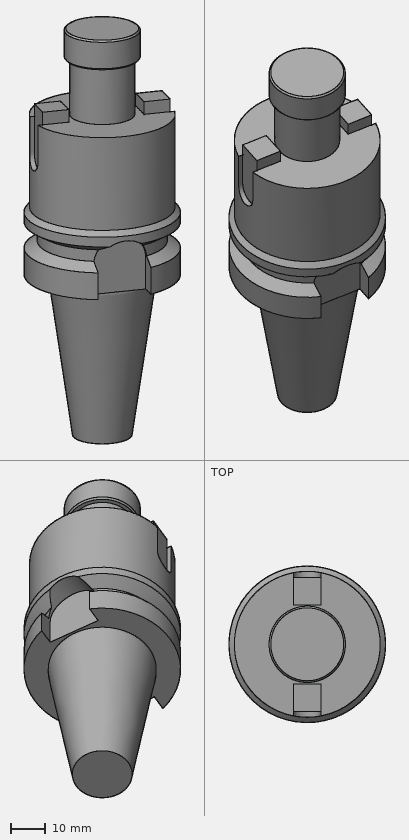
import cadquery as cq
import math

total_height = 126.0
taper_top = 48.5
flange_bottom = 49.7
lower_rim_top = 58.0
upper_rim_bottom = 66.0
upper_rim_top = 69.1
body_top = 99.5
pilot_top = 116.8

gauge_radius = 15.9
taper_ratio = 7 / 24
taper_end_radius = gauge_radius - taper_top * taper_ratio / 2
flange_diameter = 46.0
flange_radius = flange_diameter / 2
groove_radius = 19.2
body_radius = 21.4
pilot_radius = 9.6

groove_wall_rise = (flange_radius - groove_radius) * math.tan(math.radians(30))
groove_bottom = lower_rim_top + groove_wall_rise
groove_top = upper_rim_bottom - groove_wall_rise
body_base = upper_rim_top + (flange_radius - body_radius)

drive_slot_width = 16.3
drive_slot_top = 67.5
drive_slot_floor = 16.5

key_width = 8.1
key_inner = 11.6
key_outer = 19.7
key_top = 103.4
key_bottom = 84.2

cut_clearance = 1.3

cap_radius = 11.2
cap_chamfer = 0.5


def turned_holder():
    """Taper, grooved flange, body and pilot revolved about Z."""
    profile = [
        (0, 0),
        (taper_end_radius, 0),
        (gauge_radius, taper_top),
        (gauge_radius, flange_bottom),
        (flange_radius, flange_bottom),
        (flange_radius, lower_rim_top),
        (groove_radius, groove_bottom),
        (groove_radius, groove_top),
        (flange_radius, upper_rim_bottom),
        (flange_radius, upper_rim_top),
        (body_radius, body_base),
        (body_radius, body_top),
        (pilot_radius, body_top),
        (pilot_radius, pilot_top),
        (0, pilot_top),
    ]
    return cq.Workplane("XZ").polyline(profile).close().revolve(360, (0, 0), (0, 1))


def rounded_tongue(width, square_end, round_end, inner, outer):
    """Upright prism along +X from inner to outer; one end square, the other a half circle."""
    radius = width / 2
    toward_round = math.copysign(1, round_end - square_end)
    arc_center = round_end - toward_round * radius
    return (
        cq.Workplane("YZ", origin=(inner, 0, 0))
        .moveTo(-radius, square_end)
        .lineTo(-radius, arc_center)
        .threePointArc((0, round_end), (radius, arc_center))
        .lineTo(radius, square_end)
        .close()
        .extrude(outer - inner)
    )


def turn_about_axis(shape, angle):
    return shape.rotate((0, 0, 0), (0, 0, 1), angle)


def drive_slot(angle):
    """Flat-floored cutter for one flange slot, open downward and outward."""
    slot = rounded_tongue(
        drive_slot_width, flange_bottom, drive_slot_top, drive_slot_floor, flange_radius + cut_clearance
    )
    return turn_about_axis(slot, angle)


def key_seat(angle):
    """Cutter for one key seat, open outward and through the end face of the body."""
    seat = rounded_tongue(key_width, key_top, key_bottom, key_inner, body_radius + cut_clearance)
    return turn_about_axis(seat, angle)


def make_drive_key(angle):
    """Key with a round lower end, standing proud of the end face of the body."""
    key = rounded_tongue(key_width, key_top, key_bottom, key_inner, key_outer)
    return turn_about_axis(key, angle)


def make_holder():
    body = turned_holder()
    for angle in (0, 180):
        body = body.cut(drive_slot(angle))
    for angle in (90, 270):
        body = body.cut(key_seat(angle))
    return body


def make_clamping_cap():
    """Disc resting on the end of the pilot, chamfered on both rims."""
    return (
        cq.Workplane("XY", origin=(0, 0, pilot_top))
        .circle(cap_radius)
        .extrude(total_height - pilot_top)
        .edges("%CIRCLE")
        .chamfer(cap_chamfer)
    )


holder = make_holder()
drive_keys = [make_drive_key(angle) for angle in (90, 270)]
clamping_cap = make_clamping_cap()

result = cq.Compound.makeCompound(
    [holder.val(), *[key.val() for key in drive_keys], clamping_cap.val()]
)